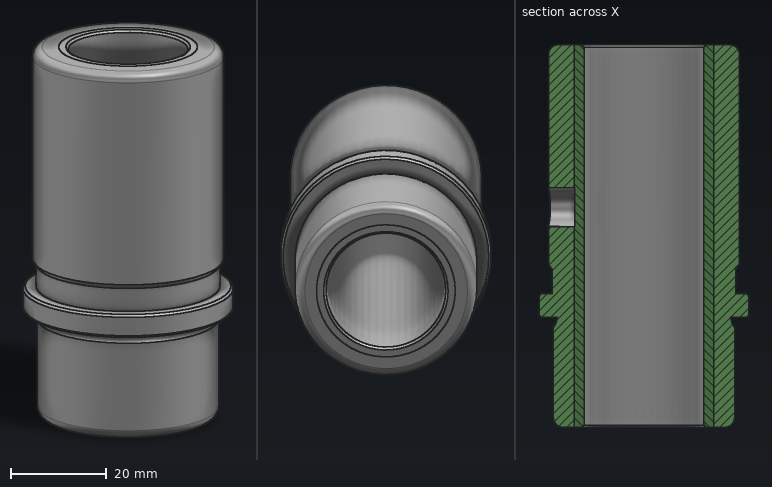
import cadquery as cq
import math

TOTAL_HEIGHT = 80.0
FLANGE_BOTTOM = 23.0
FLANGE_THICKNESS = 5.0
NECK_HEIGHT = 5.0
FLANGE_TOP = FLANGE_BOTTOM + FLANGE_THICKNESS
NECK_TOP = FLANGE_TOP + NECK_HEIGHT

SPIGOT_RADIUS = 19.0
FLANGE_RADIUS = 22.0
NECK_RADIUS = 19.25
BARREL_RADIUS = 20.0

END_ROUND = 2.0
FLANGE_CHAMFER = 0.5
SHOULDER_HEIGHT = 1.0
UNDERCUT_HEIGHT = 2.0
UNDERCUT_ARC_RADIUS = 3.0

LINER_OUTER_RADIUS = 14.5
LINER_BORE_RADIUS = 12.5
LINER_CHAMFER = 0.5

PORT_DIAMETER = 8.0
PORT_HEIGHT = 46.0


def undercut_depth_at(drop):
    """Radial growth of the undercut arc at a distance below the flange."""
    return UNDERCUT_ARC_RADIUS - math.sqrt(UNDERCUT_ARC_RADIUS**2 - drop**2)


def housing_body():
    """Revolved flanged bush with rounded ends and an arc undercut below the flange."""
    undercut_radius = SPIGOT_RADIUS - undercut_depth_at(UNDERCUT_HEIGHT)
    undercut_mid_drop = UNDERCUT_HEIGHT / 2
    undercut_mid_radius = undercut_radius + undercut_depth_at(undercut_mid_drop)
    round_mid_inset = END_ROUND * (1 - math.sqrt(0.5))
    flange_face_radius = FLANGE_RADIUS - FLANGE_CHAMFER

    section = (
        cq.Workplane("XZ")
        .moveTo(LINER_OUTER_RADIUS, 0)
        .lineTo(SPIGOT_RADIUS - END_ROUND, 0)
        .threePointArc(
            (SPIGOT_RADIUS - round_mid_inset, round_mid_inset),
            (SPIGOT_RADIUS, END_ROUND),
        )
        .lineTo(SPIGOT_RADIUS, FLANGE_BOTTOM - UNDERCUT_HEIGHT)
        .threePointArc(
            (undercut_mid_radius, FLANGE_BOTTOM - undercut_mid_drop),
            (undercut_radius, FLANGE_BOTTOM),
        )
        .lineTo(flange_face_radius, FLANGE_BOTTOM)
        .lineTo(FLANGE_RADIUS, FLANGE_BOTTOM + FLANGE_CHAMFER)
        .lineTo(FLANGE_RADIUS, FLANGE_TOP - FLANGE_CHAMFER)
        .lineTo(flange_face_radius, FLANGE_TOP)
        .lineTo(NECK_RADIUS, FLANGE_TOP)
        .lineTo(NECK_RADIUS, NECK_TOP)
        .lineTo(BARREL_RADIUS, NECK_TOP + SHOULDER_HEIGHT)
        .lineTo(BARREL_RADIUS, TOTAL_HEIGHT - END_ROUND)
        .threePointArc(
            (BARREL_RADIUS - round_mid_inset, TOTAL_HEIGHT - round_mid_inset),
            (BARREL_RADIUS - END_ROUND, TOTAL_HEIGHT),
        )
        .lineTo(LINER_OUTER_RADIUS, TOTAL_HEIGHT)
        .close()
    )
    return section.revolve(360, (0, 0, 0), (0, 1, 0))


def port_cutter():
    """Cylinder from the axis out past the barrel along +Y."""
    return (
        cq.Workplane("XZ")
        .center(0, PORT_HEIGHT)
        .circle(PORT_DIAMETER / 2)
        .extrude(-FLANGE_RADIUS)
    )


def liner_body():
    """Plain sleeve, flush with both housing ends, with its bore mouths chamfered."""
    sleeve = (
        cq.Workplane("XY")
        .circle(LINER_OUTER_RADIUS)
        .circle(LINER_BORE_RADIUS)
        .extrude(TOTAL_HEIGHT)
    )
    bore_mouths = sleeve.edges(cq.selectors.RadiusNthSelector(0))
    return bore_mouths.chamfer(LINER_CHAMFER)


housing = housing_body().cut(port_cutter())
liner = liner_body()

result = cq.Compound.makeCompound([housing.solids().val(), liner.solids().val()])